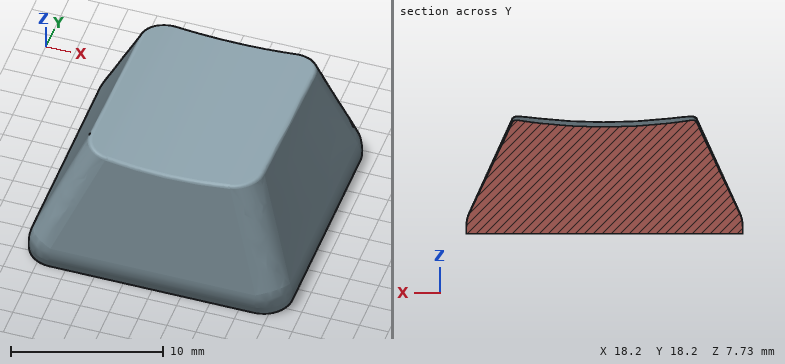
import cadquery as cq
import math

base_size = 18.16
skirt_height = 0.97

rounding_radius = 2.0

dish_radius = 37.0
dish_tilt = 3.1
dish_floor_y = -4.0
dish_floor_height = 7.26
dish_length = 60.0
rim_radius = 0.3

crown_rise = 0.5
crown_width = 11.95
crown_front_y = -5.6
crown_back_y = 8.61

tilt = math.radians(dish_tilt)
along_dish = cq.Vector(0, math.cos(tilt), -math.sin(tilt))
above_dish = cq.Vector(0, math.sin(tilt), math.cos(tilt))
dish_floor_point = cq.Vector(0, dish_floor_y, dish_floor_height)


def make_skirt():
    return cq.Workplane("XY").rect(base_size, base_size).extrude(skirt_height)


def make_walls():
    """Ruled loft from the top of the skirt to the crown, which lies parallel to the dish floor."""
    crown_depth = (crown_back_y - crown_front_y) / math.cos(tilt)
    crown_center_y = (crown_front_y + crown_back_y) / 2
    crown_center_z = dish_floor_height + crown_rise - (crown_center_y - dish_floor_y) * math.tan(tilt)
    crown_location = cq.Location(
        cq.Vector(0, crown_center_y, crown_center_z - skirt_height),
        cq.Vector(1, 0, 0),
        -dish_tilt,
    )
    crown = cq.Sketch().rect(crown_width, crown_depth).moved(crown_location)
    base = cq.Sketch().rect(base_size, base_size)
    skirt_top = cq.Workplane("XY", origin=(0, 0, skirt_height))
    return skirt_top.placeSketch(base, crown).loft(ruled=True)


def make_dish_cutter():
    start = dish_floor_point + above_dish * dish_radius - along_dish * (dish_length / 2)
    return cq.Workplane(cq.Solid.makeCylinder(dish_radius, dish_length, start, along_dish))


def round_skirt_and_corners(body):
    """Round the four upright corners together with the shoulder where the walls start to lean."""
    crown_edges = cq.selectors.BoxSelector(
        (-base_size, -base_size, 2 * skirt_height),
        (base_size, base_size, 2 * base_size),
        boundingbox=True,
    )
    bottom_edges = cq.selectors.StringSyntaxSelector("<Z")
    sharp_edges = cq.selectors.SumSelector(crown_edges, bottom_edges)
    return body.edges(cq.selectors.InverseSelector(sharp_edges)).fillet(rounding_radius)


def round_rim(body):
    """Round the edge between the dish and the sloping walls."""
    dish = cq.selectors.NearestToPointSelector(dish_floor_point.toTuple())
    return body.faces(dish).edges().fillet(rim_radius)


body = round_skirt_and_corners(make_skirt().union(make_walls()))
body = body.cut(make_dish_cutter())
result = round_rim(body)